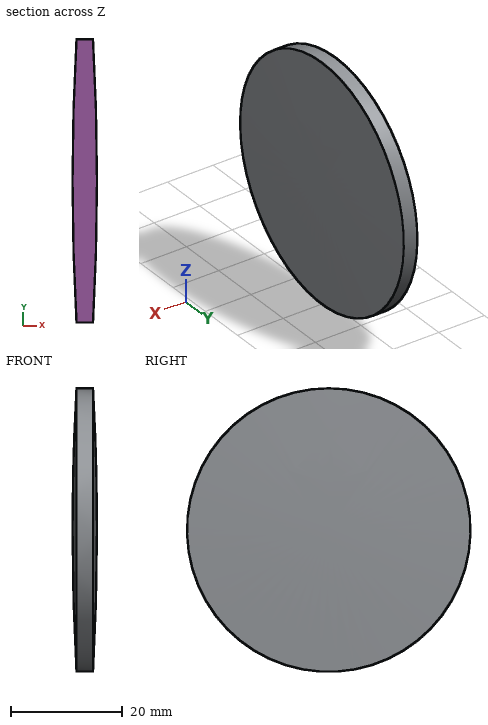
import cadquery as cq

diameter = 50.8
center_thickness = 4.4
edge_thickness = 3.0

radius = diameter / 2
half_center = center_thickness / 2
half_edge = edge_thickness / 2

sagitta = half_center - half_edge
sphere_radius = (radius**2 + sagitta**2) / (2 * sagitta)


def face_arc_midpoint(side):
    """Point on the spherical face halfway out to the rim, on the given side of X (+1 or -1)."""
    z = radius / 2
    drop = sphere_radius - (sphere_radius**2 - z**2) ** 0.5
    return (side * (half_center - drop), z)


half_section = (
    cq.Workplane("XZ")
    .moveTo(-half_center, 0)
    .threePointArc(face_arc_midpoint(-1), (-half_edge, radius))
    .lineTo(half_edge, radius)
    .threePointArc(face_arc_midpoint(1), (half_center, 0))
    .close()
)
result = half_section.revolve(360, (0, 0, 0), (1, 0, 0))